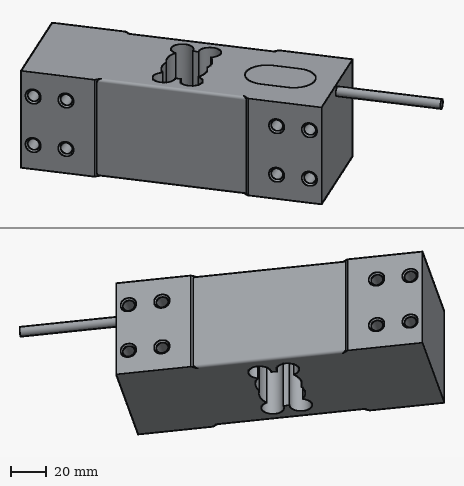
import cadquery as cq

total_length = 234.0
block_length = 173.6
block_width = 64.0
block_height = 60.0

recess_length = 88.7
recess_depth = 1.0
recess_end_run = 1.2
floor_edge_radius = 1.6

bore_radius = 12.9
bore_offset = 5.1
lobe_radius = 6.3
lobe_offset_x = 8.0
lobe_offset_y = 19.0

hole_diameter = 6.8
countersink_diameter = 9.0
hole_end_distance = 7.0
hole_spacing_x = 19.0
hole_spacing_z = 30.0

cover_length = 40.0
cover_width = 24.8
cover_thickness = 2.3
cover_center_x = 140.9

cable_diameter = 5.5
cable_depth_below_top = 5.0

center_x = block_length / 2
mid_height = block_height / 2
side_y = block_width / 2


def side_recess():
    """Cutter for the recess in the -Y side, with sloped ends."""
    half_opening = recess_length / 2
    half_floor = half_opening - recess_end_run
    return (
        cq.Workplane("XY", origin=(center_x, -side_y, 0))
        .polyline([
            (-half_opening, 0),
            (half_opening, 0),
            (half_floor, recess_depth),
            (-half_floor, recess_depth),
        ])
        .close()
        .extrude(block_height)
    )


def recessed_blank():
    """Plain block with both side recesses and the long edges of their floors rounded."""
    recess = side_recess()
    blank = (
        cq.Workplane("XY")
        .box(block_length, block_width, block_height, centered=(False, True, False))
        .cut(recess)
        .cut(recess.mirror("XZ"))
    )
    half_floor_width = side_y - recess_depth
    for y in (-half_floor_width, half_floor_width):
        for z in (0, block_height):
            blank = blank.edges(cq.NearestToPointSelector((center_x, y, z))).fillet(floor_edge_radius)
    return blank


def flexure_opening():
    base = cq.Workplane("XY", origin=(center_x, 0, 0))
    bores = base.rarray(2.3, 2 * bore_offset, 1, 2).circle(bore_radius).extrude(block_height)
    lobes = (
        base.rarray(2 * lobe_offset_x, 2 * lobe_offset_y, 2, 2)
        .circle(lobe_radius)
        .extrude(block_height)
    )
    return bores.union(lobes)


def mounting_hole(x, z):
    """Through hole along Y with a 45 degree countersink at both ends."""
    countersink_depth = (countersink_diameter - hole_diameter) / 2
    bore = (
        cq.Workplane("XZ", origin=(x, side_y, z))
        .circle(hole_diameter / 2)
        .extrude(block_width)
    )
    countersink = cq.Workplane(cq.Solid.makeCone(
        countersink_diameter / 2,
        hole_diameter / 2,
        countersink_depth,
        pnt=cq.Vector(x, -side_y, z),
        dir=cq.Vector(0, 1, 0),
    ))
    return bore.union(countersink).union(countersink.mirror("XZ"))


def make_cover():
    return (
        cq.Workplane("XY", origin=(cover_center_x, 0, block_height - cover_thickness))
        .slot2D(cover_length, cover_width)
        .extrude(cover_thickness)
    )


def make_block():
    block = (
        recessed_blank()
        .cut(flexure_opening())
        .cut(make_cover())
    )
    outer_x = center_x - hole_end_distance
    inner_x = outer_x - hole_spacing_x
    for offset_x in (-outer_x, -inner_x, inner_x, outer_x):
        for offset_z in (-hole_spacing_z / 2, hole_spacing_z / 2):
            block = block.cut(mounting_hole(center_x + offset_x, mid_height + offset_z))
    return block


def make_cable():
    return (
        cq.Workplane("YZ", origin=(block_length, 0, block_height - cable_depth_below_top))
        .circle(cable_diameter / 2)
        .extrude(total_length - block_length)
    )


block = make_block()
cover = make_cover()
cable = make_cable()

result = cq.Compound.makeCompound([block.val(), cover.val(), cable.val()])